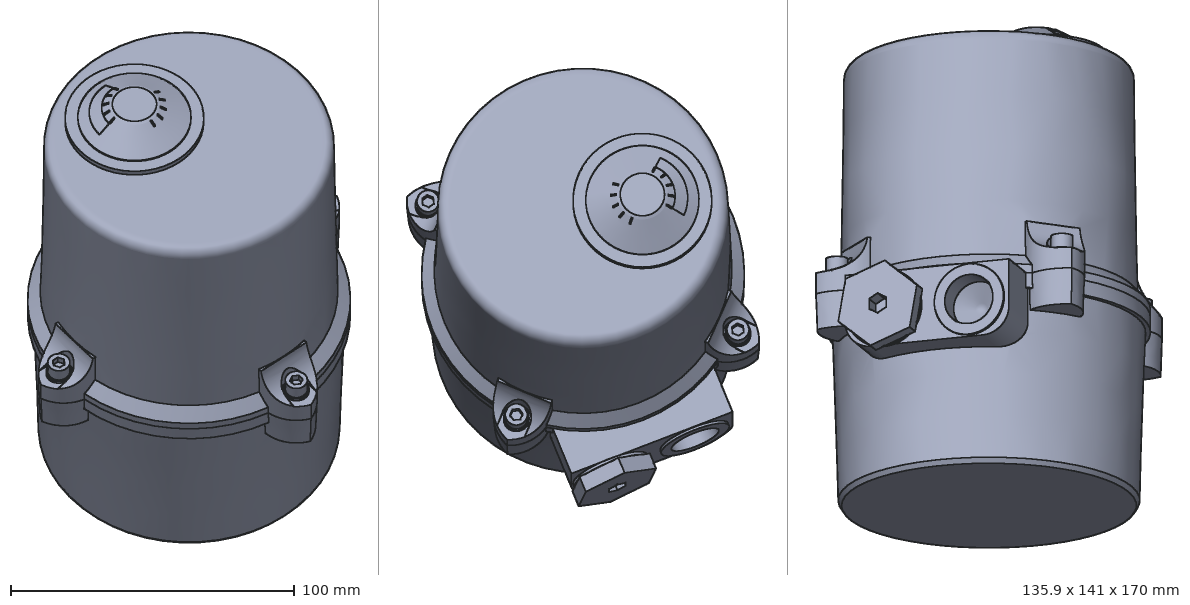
import cadquery as cq
import math

total_height = 170.0
base_flange_bottom = 63.8
parting_height = 69.2
lug_bottom = 56.1
flange_edge_top = 72.2
flange_top = 76.8
cover_top = 160.5
pad_top = 162.5

base_bottom_radius = 104.0 / 2
base_low_radius = 53.2
base_high_radius = 55.2
base_edge_height = 1.9
flange_radius = 57.0
cover_low_radius = 52.5
cover_high_radius = 51.2
cover_edge_fillet = 4.0

lug_count = 4
lug_tip = 67.7
lug_width = 20.7
lug_root = 44.2
lug_shoulder = 52.7
lug_draft = 2.0
lug_top = 89.2
lug_hollow_radius = 14.5
lug_hollow_centre = 66.8
screw_distance = 59.5
screw_head_diameter = 7.8
screw_head_top = 83.0
screw_washer_diameter = 9.0
screw_washer_height = 1.0
screw_socket_diameter = 4.6
screw_socket_depth = 2.5
screw_slot_width = 10.5

box_direction = math.radians(135.0)
box_axis = cq.Vector(math.cos(box_direction), math.sin(box_direction), 0)
box_sideways = cq.Vector(-math.sin(box_direction), math.cos(box_direction), 0)
box_width = 61.2
box_face = 65.8
box_root = 34.0
box_bottom = 42.2
box_corner_radius = 9.7
port_offset = 16.0
port_height = 55.6
port_boss_diameter = 25.8
port_boss_height = 1.0
port_diameter = 18.0
port_depth = 9.5
drill_point_angle = 118.0

plug_collar_diameter = 28.0
plug_collar_height = 1.2
plug_face = 73.0
plug_corner_diameter = 31.3
plug_turn = 20.0
plug_socket_corner_diameter = 7.3
plug_socket_turn = 90.0
plug_socket_depth = 8.5

knob_x = -18.7
knob_y = -9.5
pad_diameter = 49.0
knob_diameter = 40.0
knob_skirt_height = 0.5
knob_cap_diameter = 18.0
knob_cap_chamfer = 1.2
knob_cap_edge_drop = 0.5
mark_height = 0.25
tick_inner_radius = 9.2
tick_outer_radius = 11.2
tick_sweep = 3.0
tick_pitch = 22.5
ticks_per_scale = 5
band_inner_radius = 11.5
band_outer_radius = 16.0
band_sweep = 90.0
band_start = 180.0
scale_starts = (0.0, 180.0)


def revolved(points):
    """Solid of revolution about Z from (radius, height) points."""
    return cq.Workplane("XZ").polyline(points).close().revolve(360, (0, 0, 0), (0, 1, 0))


def spread_lugs(solid):
    """Copies of a lug feature built along +X, evenly turned about Z."""
    step = 360 / lug_count
    return [solid.rotate((0, 0, 0), (0, 0, 1), index * step) for index in range(lug_count)]


def lug_outline(height):
    """Pointed-arch plan of a lug that reaches out along +X."""
    half_width = lug_width / 2
    reach = lug_tip - lug_shoulder
    arch_radius = (reach**2 + half_width**2) / (2 * half_width)
    arch_angle = math.asin(reach / arch_radius) / 2
    mid_x = lug_shoulder + arch_radius * math.sin(arch_angle)
    mid_y = half_width - arch_radius * (1 - math.cos(arch_angle))
    return (
        cq.Workplane("XY", origin=(0, 0, height))
        .moveTo(lug_root, -half_width)
        .lineTo(lug_shoulder, -half_width)
        .threePointArc((mid_x, -mid_y), (lug_tip, 0))
        .threePointArc((mid_x, mid_y), (lug_shoulder, half_width))
        .lineTo(lug_root, half_width)
        .close()
    )


def base_lug():
    """Lug that narrows slightly downwards from the parting plane."""
    return lug_outline(parting_height).extrude(lug_bottom - parting_height, taper=lug_draft)


def on_box_face(offset, distance):
    """Plane across the box axis, level with the ports; its X runs along the width and its Y upwards."""
    origin = box_axis * distance + box_sideways * offset + cq.Vector(0, 0, port_height)
    return cq.Workplane(cq.Plane(origin=origin, xDir=box_sideways, normal=box_axis))


def entry_box():
    """Box with two rounded lower edges, its top level with the parting plane."""
    height = parting_height - box_bottom
    middle = (parting_height + box_bottom) / 2 - port_height
    box = on_box_face(0, box_root).center(0, middle).rect(box_width, height).extrude(box_face - box_root)
    along_axis = cq.selectors.ParallelDirSelector(box_axis)
    return box.edges(along_axis).edges("<Z").fillet(box_corner_radius)


def port_hole():
    """Blind drilled hole with a conical bottom."""
    radius = port_diameter / 2
    mouth = box_face + port_boss_height
    point_depth = radius / math.tan(math.radians(drill_point_angle / 2))
    profile = [(0, 0), (radius, 0), (radius, -port_depth), (0, -port_depth - point_depth)]
    face = on_box_face(port_offset, mouth)
    axis_plane = cq.Plane(origin=face.plane.origin, xDir=face.plane.xDir, normal=-face.plane.yDir)
    return cq.Workplane(axis_plane).polyline(profile).close().revolve(360, (0, 0, 0), (0, 1, 0))


def hexagon(workplane, corner_diameter, turn):
    """Hexagon with one corner at the given angle from the local X axis."""
    return workplane.transformed(rotate=(0, 0, turn)).polygon(6, corner_diameter)


def hex_plug():
    """Collared hexagonal plug with a hexagon socket."""
    collar_face = box_face + plug_collar_height
    collar = on_box_face(-port_offset, box_face).circle(plug_collar_diameter / 2).extrude(plug_collar_height)
    head = hexagon(on_box_face(-port_offset, collar_face), plug_corner_diameter, plug_turn)
    head = head.extrude(plug_face - collar_face)
    socket = hexagon(on_box_face(-port_offset, plug_face), plug_socket_corner_diameter, plug_socket_turn)
    return collar.union(head).cut(socket.extrude(-plug_socket_depth))


def build_base():
    base = revolved([
        (0, 0),
        (base_bottom_radius, 0),
        (base_low_radius, base_edge_height),
        (base_high_radius, base_flange_bottom),
        (flange_radius, base_flange_bottom),
        (flange_radius, parting_height),
        (0, parting_height),
    ])
    for lug in spread_lugs(base_lug()):
        base = base.union(lug)
    boss = on_box_face(port_offset, box_face).circle(port_boss_diameter / 2).extrude(port_boss_height)
    return base.union(entry_box()).union(boss).cut(port_hole()).union(hex_plug())


def cover_lug():
    """Lug whose top sweeps up to the cover wall in a hollow curve."""
    hollow_centre_height = flange_top + lug_hollow_radius
    hollow_start = lug_hollow_centre - math.sqrt(
        lug_hollow_radius**2 - (hollow_centre_height - lug_top) ** 2
    )
    diagonal = lug_hollow_radius * math.sqrt(0.5)
    side = (
        cq.Workplane("XZ")
        .moveTo(lug_root, parting_height)
        .lineTo(lug_tip, parting_height)
        .lineTo(lug_tip, flange_top)
        .lineTo(lug_hollow_centre, flange_top)
        .threePointArc(
            (lug_hollow_centre - diagonal, hollow_centre_height - diagonal), (hollow_start, lug_top)
        )
        .lineTo(lug_root, lug_top)
        .close()
        .extrude(lug_width / 2, both=True)
    )
    return side.intersect(lug_outline(parting_height).extrude(lug_top - parting_height))


def screw_slot():
    """Round-ended slot that clears the screw head and opens at the lug tip."""
    length = lug_tip - screw_distance
    depth = lug_top - flange_top
    plane = cq.Workplane("XY", origin=(screw_distance, 0, flange_top))
    round_end = plane.circle(screw_slot_width / 2).extrude(depth)
    return round_end.union(plane.center(length / 2, 0).rect(length, screw_slot_width).extrude(depth))


def screw_head():
    """Cylindrical screw head with a hexagon socket, on a washer that lies on the slot floor."""
    seat = cq.Workplane("XY", origin=(screw_distance, 0, flange_top))
    washer = seat.circle(screw_washer_diameter / 2).extrude(screw_washer_height)
    head = washer.union(seat.circle(screw_head_diameter / 2).extrude(screw_head_top - flange_top))
    return head.faces(">Z").workplane().polygon(6, screw_socket_diameter).cutBlind(-screw_socket_depth)


knob_seat = pad_top + knob_skirt_height
knob_cap_edge = total_height - knob_cap_edge_drop
knob_slope = (knob_cap_edge - knob_seat) / (knob_diameter / 2 - knob_cap_diameter / 2)


def cone_height(radius):
    """Height of the knob's conical face at a radius from the knob axis."""
    return knob_seat + (knob_diameter / 2 - radius) * knob_slope


def dial_mark(inner_radius, outer_radius, start, sweep):
    """Slightly raised sector on the knob's conical face."""
    inner = cone_height(inner_radius)
    outer = cone_height(outer_radius)
    profile = [
        (inner_radius, inner - mark_height),
        (inner_radius, inner + mark_height),
        (outer_radius, outer + mark_height),
        (outer_radius, outer - mark_height),
    ]
    sector = cq.Workplane("XZ").polyline(profile).close().revolve(sweep, (0, 0, 0), (0, 1, 0))
    return sector.rotate((0, 0, 0), (0, 0, 1), start)


def position_knob():
    """Conical indicator on its round pad, with two tick scales and a band."""
    knob_radius = knob_diameter / 2
    cap_radius = knob_cap_diameter / 2
    knob = revolved([
        (0, cover_top),
        (pad_diameter / 2, cover_top),
        (pad_diameter / 2, pad_top),
        (knob_radius, pad_top),
        (knob_radius, knob_seat),
        (cap_radius, knob_cap_edge),
        (cap_radius - knob_cap_chamfer, total_height),
        (0, total_height),
    ])
    for scale_start in scale_starts:
        for index in range(ticks_per_scale):
            middle = scale_start + index * tick_pitch
            tick = dial_mark(tick_inner_radius, tick_outer_radius, middle - tick_sweep / 2, tick_sweep)
            knob = knob.union(tick)
    knob = knob.union(dial_mark(band_inner_radius, band_outer_radius, band_start, band_sweep))
    return knob.translate((knob_x, knob_y, 0))


def build_cover():
    cover = revolved([
        (0, parting_height),
        (flange_radius, parting_height),
        (flange_radius, flange_edge_top),
        (cover_low_radius, flange_top),
        (cover_high_radius, cover_top),
        (0, cover_top),
    ])
    cover = cover.faces(">Z").edges().fillet(cover_edge_fillet)
    for lug in spread_lugs(cover_lug()):
        cover = cover.union(lug)
    for slot in spread_lugs(screw_slot()):
        cover = cover.cut(slot)
    for head in spread_lugs(screw_head()):
        cover = cover.union(head)
    return cover.union(position_knob())


base = build_base()
cover = build_cover()

result = cq.Compound.makeCompound([base.val(), cover.val()])